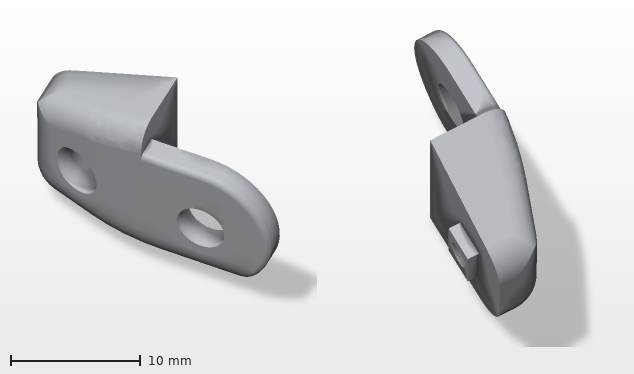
import cadquery as cq
import math

LEFT_X = -16.0
STEP_X = -5.1
BACK_Y = 6.7
BOTTOM_Z = -5.8
TOP_Z = 8.2
TOP_SLOPE = 20.0
CORNER_RADIUS = 3.0
TOP_EDGE_RADIUS = 2.0

ARC_START_X = -3.8
ARC_RADIUS = 20.0
TAPER_ANGLE = 18.5

TAB_THICKNESS = 2.0
TAB_RADIUS = 5.8
TAB_EDGE_RADIUS = 0.5
PIVOT_HOLE_DIAMETER = 4.0

SCREW_X = -11.3
KEY_WIDTH = 3.0
KEY_HEIGHT = 4.0
KEY_DEPTH = 1.0
SCREW_HOLE_DIAMETER = 2.2
SCREW_HEAD_DIAMETER = 4.2
HEAD_SEAT_Y = 1.8
CONE_HALF_ANGLE = 45.0


def y_cylinder(x, diameter, y_start, y_end):
    """Cylinder along Y at height Z = 0."""
    plane = cq.Workplane("XZ", origin=(x, y_start, 0))
    return plane.circle(diameter / 2).extrude(y_start - y_end)


def make_bar():
    """Full-height bar with the curved front face and sharp edges, for body and tab alike."""
    def arc_point(angle):
        x = ARC_START_X - ARC_RADIUS * math.sin(angle)
        y = ARC_RADIUS * (1 - math.cos(angle))
        return x, y

    taper = math.radians(TAPER_ANGLE)
    arc_middle = arc_point(taper / 2)
    arc_end = arc_point(taper)
    left_y = arc_end[1] + (arc_end[0] - LEFT_X) * math.tan(taper)
    right_x = 2 * TAB_RADIUS
    return (
        cq.Workplane("XY", origin=(0, 0, BOTTOM_Z))
        .moveTo(LEFT_X, BACK_Y)
        .lineTo(right_x, BACK_Y)
        .lineTo(right_x, 0)
        .lineTo(ARC_START_X, 0)
        .threePointArc(arc_middle, arc_end)
        .lineTo(LEFT_X, left_y)
        .close()
        .extrude(TOP_Z - BOTTOM_Z)
    )


def round_left_and_bottom(bar):
    """Round the upright left front edge and the left and front bottom edges."""
    left_front = bar.faces("<X").edges("|Z").edges("<Y")
    bottom = bar.faces("<Z").edges("not(>X or >Y)")
    return bar.newObject(left_front.vals() + bottom.vals()).fillet(CORNER_RADIUS)


def make_wedge():
    """Outline of the thick left part, with its sloped top, through the full depth."""
    left_top_z = TOP_Z - (STEP_X - LEFT_X) * math.tan(math.radians(TOP_SLOPE))
    return (
        cq.Workplane("XZ")
        .moveTo(LEFT_X, BOTTOM_Z)
        .lineTo(STEP_X, BOTTOM_Z)
        .lineTo(STEP_X, TOP_Z)
        .lineTo(LEFT_X, left_top_z)
        .close()
        .extrude(-BACK_Y)
    )


def make_body(bar, rounded_bar):
    """Thick left part; its roundings meet in mitred edges at the upper left corner."""
    wedge = make_wedge()
    rounded_wedge = wedge.faces("<X").edges("|Y").edges(">Z").fillet(CORNER_RADIUS)

    sharp_body = bar.intersect(wedge)
    sloped_top = sharp_body.faces(">Z")
    top_front = sloped_top.edges("not(|Y or >Y)")
    top_rounded = sharp_body.newObject(top_front.vals()).fillet(TOP_EDGE_RADIUS)
    return top_rounded.intersect(rounded_bar).intersect(rounded_wedge)


def make_tab(rounded_bar):
    """Thin rounded tab around the pivot hole, with a small rounding along its front edge."""
    outline = (
        cq.Workplane("XZ")
        .moveTo(STEP_X, -TAB_RADIUS)
        .lineTo(0, -TAB_RADIUS)
        .threePointArc((TAB_RADIUS, 0), (0, TAB_RADIUS))
        .lineTo(STEP_X, TAB_RADIUS)
        .close()
        .extrude(-TAB_THICKNESS)
    )
    tab = rounded_bar.intersect(outline)
    upper_front = tab.faces("<Y").edges("%CIRCLE")
    return upper_front.fillet(TAB_EDGE_RADIUS)


def add_key(part):
    """Rectangular locating key on the back."""
    key = cq.Workplane("XZ", origin=(SCREW_X, BACK_Y, 0)).rect(KEY_WIDTH, KEY_HEIGHT).extrude(-KEY_DEPTH)
    return part.union(key)


def cut_screw_hole(part):
    """Through hole with a cylindrical head recess that narrows in a cone to the hole."""
    head_radius = SCREW_HEAD_DIAMETER / 2
    hole_radius = SCREW_HOLE_DIAMETER / 2
    cone_depth = (head_radius - hole_radius) / math.tan(math.radians(CONE_HALF_ANGLE))
    cone = cq.Workplane(
        cq.Solid.makeCone(
            head_radius,
            hole_radius,
            cone_depth,
            pnt=cq.Vector(SCREW_X, HEAD_SEAT_Y, 0),
            dir=cq.Vector(0, 1, 0),
        )
    )
    head = y_cylinder(SCREW_X, SCREW_HEAD_DIAMETER, 0, HEAD_SEAT_Y)
    hole = y_cylinder(SCREW_X, SCREW_HOLE_DIAMETER, 0, BACK_Y + KEY_DEPTH)
    return part.cut(head).cut(cone).cut(hole)


def cut_pivot_hole(part):
    """Plain through hole at the centre of the tab's round end."""
    return part.cut(y_cylinder(0, PIVOT_HOLE_DIAMETER, 0, TAB_THICKNESS))


bar = make_bar()
rounded_bar = round_left_and_bottom(bar)
result = make_body(bar, rounded_bar).union(make_tab(rounded_bar))
result = add_key(result)
result = cut_screw_hole(result)
result = cut_pivot_hole(result)